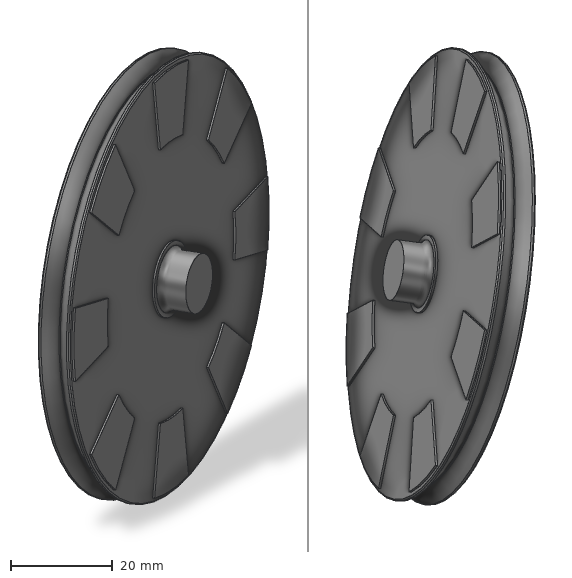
import cadquery as cq
import math

disc_radius = 45.0
disc_thickness = 7.0
rim_land = 0.7
rim_chamfer = 0.3
groove_floor_width = 0.3
groove_depth = (disc_thickness - groove_floor_width) / 2 - rim_land

overall_length = 13.5
raised_height = 0.45
raised_face = disc_thickness + raised_height
collar_radius = 7.7
hub_radius = 6.0
hub_fillet = 2.0

sector_count = 8
sector_angle = 20.0
sector_inner_radius = 29.0
sector_outer_radius = 44.0

recess_y = 10.8
recess_z = -32.0
recess_radius = 2.1
recess_depth = 0.3


def make_turned_body():
    """Revolve the half section of disc, collar and hub about X."""
    groove_start = rim_land + groove_depth
    groove_end = groove_start + groove_floor_width
    groove_radius = disc_radius - groove_depth
    chamfer_radius = disc_radius - rim_chamfer

    def fillet_point(angle):
        """Point on the hub fillet, from 0 degrees at the disc face to 90 at the hub."""
        axial = hub_fillet * (1 - math.cos(angle))
        radial = hub_fillet * (1 - math.sin(angle))
        return disc_thickness + axial, hub_radius + radial

    fillet_start = math.acos(1 - raised_height / hub_fillet)
    fillet_end = math.pi / 2
    section = (
        cq.Workplane("XY")
        .lineTo(0, chamfer_radius)
        .lineTo(rim_chamfer, disc_radius)
        .lineTo(rim_land, disc_radius)
        .lineTo(groove_start, groove_radius)
        .lineTo(groove_end, groove_radius)
        .lineTo(disc_thickness - rim_land, disc_radius)
        .lineTo(disc_thickness - rim_chamfer, disc_radius)
        .lineTo(disc_thickness, chamfer_radius)
        .lineTo(disc_thickness, collar_radius)
        .lineTo(raised_face, collar_radius)
        .lineTo(*fillet_point(fillet_start))
        .threePointArc(
            fillet_point((fillet_start + fillet_end) / 2),
            fillet_point(fillet_end),
        )
        .lineTo(overall_length, hub_radius)
        .lineTo(overall_length, 0)
        .close()
    )
    return section.revolve(360, (0, 0, 0), (1, 0, 0))


def polar_point(radius, angle):
    """Point in the YZ plane at an angle in degrees from +Y."""
    return radius * math.cos(math.radians(angle)), radius * math.sin(math.radians(angle))


def make_sector(middle_angle):
    """Ring sector standing on the +X face of the disc."""
    start = middle_angle - sector_angle / 2
    end = middle_angle + sector_angle / 2
    return (
        cq.Workplane("YZ")
        .moveTo(*polar_point(sector_inner_radius, start))
        .lineTo(*polar_point(sector_outer_radius, start))
        .threePointArc(
            polar_point(sector_outer_radius, middle_angle),
            polar_point(sector_outer_radius, end),
        )
        .lineTo(*polar_point(sector_inner_radius, end))
        .threePointArc(
            polar_point(sector_inner_radius, middle_angle),
            polar_point(sector_inner_radius, start),
        )
        .close()
        .extrude(raised_height)
        .translate((disc_thickness, 0, 0))
    )


def make_recess():
    """Cutter for the round recess."""
    return (
        cq.Workplane("YZ")
        .center(recess_y, recess_z)
        .circle(recess_radius)
        .extrude(recess_depth)
    )


result = make_turned_body()
for index in range(sector_count):
    result = result.union(make_sector(index * 360 / sector_count))
result = result.cut(make_recess())